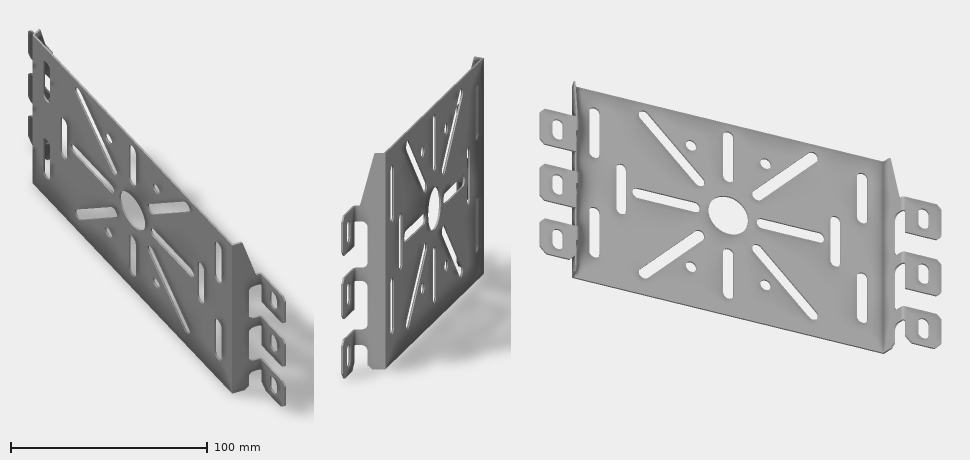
import cadquery as cq
import math

overall_width = 225.0
overall_depth = 16.0
overall_height = 115.0
sheet = 1.0
plate_width = 175.0
flare_angle = math.radians(15)
flange_bend_radius = 1.1

center_z = 60.0
center_hole_diameter = 22.5
small_hole_diameter = 6.0
small_hole_x = 21.0
small_hole_z = 36.5
slot_width = 6.0
short_slot_length = 30.2
upright_slot_offset = 35.0
level_slot_length = 38.0
level_slot_offset = 34.9
diagonal_slot_length = 50.0
diagonal_slot_offset = 45.0
middle_slot_x = 60.0
middle_slot_width = 5.6
outer_slot_x = 75.2
outer_slot_z = 30.0

tab_tops = (86.8, 53.8, 21.0)
tab_heights = (21.2, 21.8, 21.0)
neck_heights = (8.0, 6.8, 8.0)
tab_inner_x = 92.5
tab_corner = 2.5
lowest_tab_corner = 3.5
tab_slot_x = 102.5
tab_slot_length = 12.0
tab_slot_drop = 10.5

web_depth = 8.8
web_top_depth = 5.5
web_shoulder_depth = 12.5
web_foot_chamfer = 2.2
notch_radius = 3.2
neck_corner = 1.0
notch_overrun = 4.5

half_width = overall_width / 2
half_plate = plate_width / 2
flange_front = overall_depth - sheet


def flared_x(depth):
    """X of the outer web face at a given depth behind the plate's front face."""
    return half_plate + depth * math.tan(flare_angle)


def slot_cutter(x, z, length, angle, width=slot_width):
    """Round-ended slot through the full depth, angled from the X axis."""
    return (
        cq.Workplane("XZ", origin=(x, 0, z))
        .slot2D(length, width, angle)
        .extrude(-overall_depth)
    )


def make_folded_sheet():
    """The full-height folded strip, before tabs and openings are cut."""
    web_thickness_x = sheet / math.cos(flare_angle)
    front_bend_x = flared_x(flange_front)
    plate_inner_x = flared_x(sheet) - web_thickness_x
    rear_bend_x = flared_x(overall_depth) - web_thickness_x
    right_side = [
        (half_plate, 0),
        (front_bend_x, flange_front),
        (half_width, flange_front),
        (half_width, overall_depth),
        (rear_bend_x, overall_depth),
        (plate_inner_x, sheet),
    ]
    left_side = [(-x, y) for x, y in reversed(right_side)]
    strip = cq.Workplane("XY").polyline(right_side + left_side).close().extrude(overall_height)

    mid_z = overall_height / 2
    for side in (1, -1):
        inner_corner = cq.selectors.NearestToPointSelector((side * front_bend_x, flange_front, mid_z))
        outer_corner = cq.selectors.NearestToPointSelector((side * rear_bend_x, overall_depth, mid_z))
        strip = strip.edges(inner_corner).fillet(flange_bend_radius)
        strip = strip.edges(outer_corner).fillet(flange_bend_radius + sheet)
    return strip


def make_notch(bottom, top, side):
    """Relief in one web below a tab neck, rounded where it meets the web and the tab."""
    width = tab_inner_x - half_plate
    depth = overall_depth - web_depth + notch_overrun
    block = (
        cq.Workplane("XY")
        .box(width, depth, top - bottom, centered=False)
        .translate((half_plate, web_depth, bottom))
    )
    web_rounding = block.edges("|X and <Y").fillet(notch_radius)
    tab_rounding = block.edges("|Y and >X and >Z").fillet(neck_corner)
    notch = web_rounding.intersect(tab_rounding)
    return notch if side > 0 else notch.mirror("YZ")


def make_web_envelope():
    """Plate and web region inside the tabs, with the sloped top, foot and notches."""
    outline = [
        (0, 0),
        (0, overall_height),
        (web_top_depth, overall_height),
        (web_shoulder_depth, tab_tops[0]),
        (overall_depth, tab_tops[0]),
        (overall_depth, web_foot_chamfer),
        (web_depth, web_foot_chamfer),
        (web_depth - web_foot_chamfer, 0),
    ]
    envelope = cq.Workplane("YZ").polyline(outline).close().extrude(tab_inner_x, both=True)

    notch_bottoms = tab_tops[1:] + (-web_foot_chamfer,)
    for tab_top, neck_height, bottom in zip(tab_tops, neck_heights, notch_bottoms):
        for side in (1, -1):
            envelope = envelope.cut(make_notch(bottom, tab_top - neck_height, side))
    return envelope


def make_tab(top, height, side):
    """One flange tab with clipped corners and an upright slot."""
    width = half_width - tab_inner_x
    tab = (
        cq.Workplane("XY")
        .box(width, sheet, height, centered=False)
        .translate((tab_inner_x, flange_front, top - height))
    )
    tab = tab.edges("|Y and >X and >Z").chamfer(tab_corner)
    if top == tab_tops[-1]:
        tab = tab.edges("|Y and <Z").chamfer(lowest_tab_corner)
    else:
        tab = tab.edges("|Y and >X and <Z").chamfer(tab_corner)
    slot = slot_cutter(tab_slot_x, top - tab_slot_drop, tab_slot_length, 90)
    tab = tab.cut(slot)
    return tab if side > 0 else tab.mirror("YZ")


def cut_plate_slots(body):
    """Cut the ring of spokes and the upright slots toward the plate ends."""
    for spoke in range(8):
        angle = 45 * spoke
        if spoke % 2 == 1:
            length, offset = diagonal_slot_length, diagonal_slot_offset
        elif spoke % 4 == 0:
            length, offset = level_slot_length, level_slot_offset
        else:
            length, offset = short_slot_length, upright_slot_offset
        x = offset * math.cos(math.radians(angle))
        z = center_z + offset * math.sin(math.radians(angle))
        body = body.cut(slot_cutter(x, z, length, angle))

    for side in (1, -1):
        middle_slot = slot_cutter(
            side * middle_slot_x, center_z, short_slot_length, 90, middle_slot_width
        )
        body = body.cut(middle_slot)
        for level in (1, -1):
            z = center_z + level * outer_slot_z
            body = body.cut(slot_cutter(side * outer_slot_x, z, short_slot_length, 90))
    return body


def cut_plate_holes(body):
    """Cut the central hole and the four small holes around it."""
    plane = cq.Workplane("XZ", origin=(0, 0, center_z))
    center_hole = plane.circle(center_hole_diameter / 2).extrude(-overall_depth)
    small_holes = (
        plane.rect(2 * small_hole_x, 2 * small_hole_z, forConstruction=True)
        .vertices()
        .circle(small_hole_diameter / 2)
        .extrude(-overall_depth)
    )
    return body.cut(center_hole).cut(small_holes)


envelope = make_web_envelope()
for tab_top, tab_height in zip(tab_tops, tab_heights):
    for side in (1, -1):
        envelope = envelope.union(make_tab(tab_top, tab_height, side))

result = make_folded_sheet().intersect(envelope)
result = cut_plate_slots(result)
result = cut_plate_holes(result)